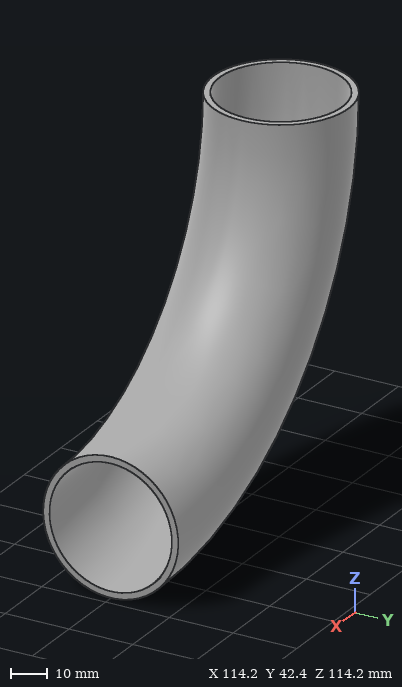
import cadquery as cq

OUTER_DIAMETER = 42.4
WALL_THICKNESS = 2.0
BEND_RADIUS = 93.0
BEND_ANGLE = 90.0

inner_diameter = OUTER_DIAMETER - 2 * WALL_THICKNESS


def make_elbow():
    """Revolve the ring of the upward-facing end about the bend axis, parallel to Y."""
    ring = cq.Workplane("XY").circle(OUTER_DIAMETER / 2).circle(inner_diameter / 2)
    axis_start = (BEND_RADIUS, 0)
    axis_end = (BEND_RADIUS, -1)
    return ring.revolve(BEND_ANGLE, axis_start, axis_end)


result = make_elbow()